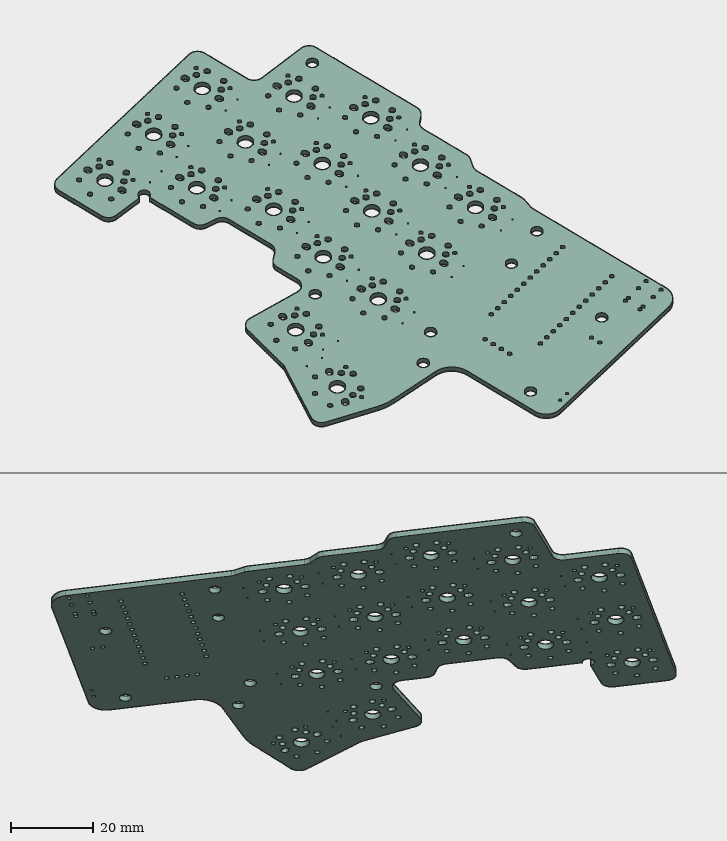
import cadquery as cq
import math

thickness = 1.5

key_rows = (1, 0, -1)
column_middle_y = (1.0, 13.0, 19.0, 14.5, 12.1)
first_column_x = -61.7
column_span = 76.0
key_pitch = column_span / (len(column_middle_y) - 1)
thumb_keys = ((4.7, -27.2, -15), (24.2, -35.4, -30))

column_keys = [
    (first_column_x + column * key_pitch, middle_y + row * key_pitch, 0)
    for column, middle_y in enumerate(column_middle_y)
    for row in key_rows
]
keys = column_keys + list(thumb_keys)

stem_diameter = 4.0
side_slot_length = 2.1
side_slot_width = 1.7
side_slot_offset = 5.3
tall_pin_diameter = 1.5
tall_pins = ((2.5, 5.1), (3.8, 2.5))
low_pin_diameter = 1.27
low_pin_drop = 5.8
low_side_pin = (5.0, -3.8)
locating_diameter = 1.0
locating_pin = (5.3, 4.3)

via_diameter = 0.3
via_spacing = 4.5
via_row_pitch = 19.2
first_via_x = -52.8
via_column_span = 76.5
via_column_pitch = via_column_span / (len(column_middle_y) - 1)
odd_via_rise = 8.5
thumb_via_pairs = ((14.5, -25.9), (14.8, -32.6))
thumb_via_angle = -15

mount_diameter = 3.0
edge_mount = (-51.4, -15.8)
mounts = (
    edge_mount,
    (-46.0, 43.1),
    (30.7, 34.3),
    (32.5, 22.2),
    (60.5, 22.2),
    (30.9, -7.4),
    (61.9, -7.4),
    (1.3, -15.2),
    (35.7, -16.4),
)

header_diameter = 1.1
controller_pins = 12
controller_span = 27.9
header_pitch = controller_span / (controller_pins - 1)
controller_columns = (38.8, 54.0)
controller_top_y = 34.1
display_pins = 4
display_start = (42.7, -1.0)
jack_diameter = 1.0
jack_columns = (61.6, 66.2)
jack_rows = (38.1, 35.1, 31.2, 30.0)
reset_diameter = 1.0
reset_pins = ((62.6, 15.5), (65.2, 15.5))
switch_peg_diameter = 0.73
switch_pegs = ((69.3, -2.4), (69.3, -5.1))

half_length = 142.3 / 2
half_width = 95.2 / 2
corner_radius = 2.7
large_radius = 4.4
inner_corner_radius = 6.0
knuckle_radius = 14.2
outline = (
    (-half_length, -27.6, corner_radius),
    (-half_length, 29.3, corner_radius),
    (-52.8, 29.3, corner_radius),
    (-50.8, half_width, corner_radius),
    (-15.5, half_width, corner_radius),
    (-13.0, 43.1, corner_radius),
    (2.8, 43.1, corner_radius),
    (6.3, 40.5, corner_radius),
    (21.6, 40.5, corner_radius),
    (25.0, 39.4, corner_radius),
    (half_length, 39.4, large_radius),
    (half_length, -11.8, large_radius),
    (40.7, -11.8, inner_corner_radius),
    (37.0, -32.3, knuckle_radius),
    (27.7, -48.5, corner_radius),
    (9.8, -38.1, corner_radius),
    (-7.0, -33.9, corner_radius),
    (-1.7, -14.1, corner_radius),
    (-13.1, -14.1, corner_radius),
    (-15.6, -9.2, corner_radius),
    (-32.2, -9.2, corner_radius),
    (-34.3, -15.6, corner_radius),
    (edge_mount[0], -15.6, 0),
    (-52.8, -27.6, corner_radius),
)


def mirrored(points):
    """The given points together with their left-right mirror images."""
    return [(side * x, y) for x, y in points for side in (1, -1)]


def placed(points, x, y, angle):
    """Points turned by angle degrees about their origin and moved to x, y."""
    cos_a = math.cos(math.radians(angle))
    sin_a = math.sin(math.radians(angle))
    return [(x + px * cos_a - py * sin_a, y + px * sin_a + py * cos_a) for px, py in points]


def drill(body, points, diameter):
    """Cut round through holes at the given points."""
    return body.cut(cq.Workplane().pushPoints(points).circle(diameter / 2).extrude(thickness))


def make_plate():
    body = cq.Workplane().polyline([(x, y) for x, y, _ in outline]).close().extrude(thickness)
    for x, y, radius in outline:
        if radius:
            corner = cq.selectors.NearestToPointSelector((x, y, thickness / 2))
            body = body.edges("|Z").edges(corner).fillet(radius)
    return body


def drill_keys(body):
    hole_groups = (
        ([(0, 0)], stem_diameter),
        (mirrored(tall_pins), tall_pin_diameter),
        (mirrored([low_side_pin]) + [(0, -low_pin_drop)], low_pin_diameter),
        (mirrored([locating_pin]), locating_diameter),
    )
    for points, diameter in hole_groups:
        body = drill(body, [p for key in keys for p in placed(points, *key)], diameter)
    for angle in sorted({key[2] for key in keys}):
        turned_keys = [key for key in keys if key[2] == angle]
        centres = [p for key in turned_keys for p in placed(mirrored([(side_slot_offset, 0)]), *key)]
        slots = cq.Workplane().pushPoints(centres).slot2D(side_slot_length, side_slot_width, angle)
        body = body.cut(slots.extrude(thickness))
    return body


def drill_vias(body):
    pairs = [
        (first_via_x + column * via_column_pitch, middle_y + row * via_row_pitch, 0)
        for column, middle_y in enumerate(column_middle_y)
        for row in key_rows
        if (column, row) != (0, -1)
    ]
    pairs.append((first_via_x, column_middle_y[0] - key_pitch + odd_via_rise, 0))
    pairs += [(x, y, thumb_via_angle) for x, y in thumb_via_pairs]
    pair_points = [(0, via_spacing / 2), (0, -via_spacing / 2)]
    return drill(body, [p for pair in pairs for p in placed(pair_points, *pair)], via_diameter)


def drill_electronics(body):
    controller = [
        (x, controller_top_y - pin * header_pitch)
        for x in controller_columns
        for pin in range(controller_pins)
    ]
    display_x, display_y = display_start
    display = [(display_x + pin * header_pitch, display_y) for pin in range(display_pins)]
    body = drill(body, controller + display, header_diameter)
    body = drill(body, [(x, y) for x in jack_columns for y in jack_rows], jack_diameter)
    body = drill(body, reset_pins, reset_diameter)
    return drill(body, switch_pegs, switch_peg_diameter)


plate = make_plate()
plate = drill(plate, mounts, mount_diameter)
plate = drill_keys(plate)
plate = drill_vias(plate)
result = drill_electronics(plate)